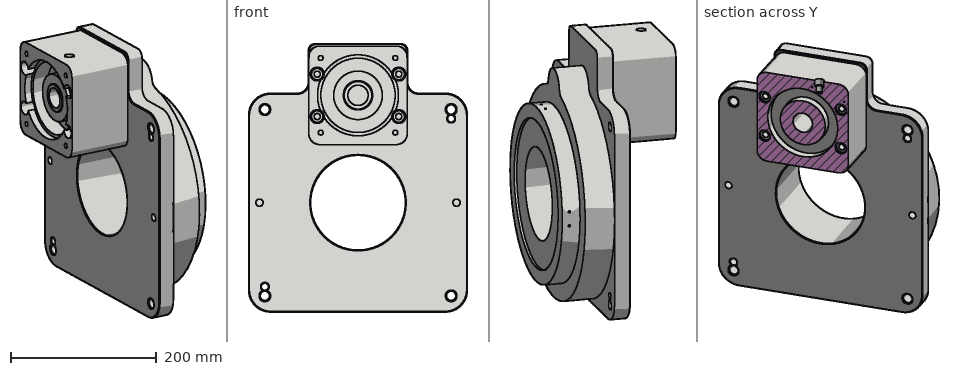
import cadquery as cq
import math


housing_length = 89.8
plate_thickness = 23.0
disc_thickness = 42.0
ring_thickness = 25.5
disc_back = plate_thickness + disc_thickness
ring_back = disc_back + ring_thickness

plate_side = 300.0
plate_corner_radius = 30.0
tab_width = 136.0
overall_height = 368.0
tab_top = overall_height - plate_side / 2
tab_corner_radius = 10.0
tab_root_radius = 15.0
edge_chamfer = 1.0

ring_diameter = 250.2
bore_diameter = 130.0
back_recess_diameter = 210.0
back_recess_depth = 3.5
disc_radius = plate_side / 2
lobe_center_z = 150.5
lobe_radius = 27.0
lobe_blend_radius = 11.8

corner_hole_offset = 127.7
corner_hole_diameter = 13.0
corner_hole_rim = 16.0
pin_hole_gap = 12.5
pin_hole_diameter = 10.0
pin_hole_rim = 11.8
side_hole_offset = 135.0
side_hole_diameter = 10.0

rim_hole_diameter = 2.45
rim_hole_offset = 10.0
rim_hole_depth = 7.5
rim_hole_setback = 10.3
rim_hole_y = ring_back - rim_hole_setback

motor_axis_z = 147.2
housing_side = 135.0
housing_corner_radius = 15.0
pilot_diameter = 111.0
pilot_depth = 10.3
cavity_diameter = 102.0
cavity_depth = 34.2
hub_diameter = 66.5
hub_setback = 14.7
collar_base_diameter = 40.0
collar_top_diameter = 38.0
collar_height = 1.0
shaft_hole_diameter = 28.0
shaft_hole_depth = 55.2
motor_hole_offset = 51.0
motor_hole_diameter = 6.5
motor_hole_depth = 18.5
screw_offset_x = 56.0
screw_offset_z = 29.0
screw_pocket_diameter = 18.8
screw_pocket_depth = 22.0
screw_seat_diameter = 16.0
screw_seat_depth = 3.5
screw_hole_diameter = 8.5
screw_hole_depth = 14.7
access_hole_x = 24.3
access_hole_setback = 22.5
access_recess_diameter = 13.0
access_recess_depth = 9.2
access_hole_diameter = 8.5
access_hole_depth = 18.5

housing_front = -housing_length

ROOT_BOX_MARGIN = 3.5
MIRROR_SIGNS = [(-1, -1), (-1, 1), (1, -1), (1, 1)]


def cylinder(diameter, x, z, y_start, length):
    """Cylinder along +Y that starts at y_start."""
    return cq.Workplane(cq.Solid.makeCylinder(
        diameter / 2, length, cq.Vector(x, y_start, z), cq.Vector(0, 1, 0)))


def rim_chamfer(diameter, rim_diameter, x, z, y_start):
    """45-degree countersink that narrows along +Y from rim_diameter to diameter."""
    depth = (rim_diameter - diameter) / 2
    return cq.Workplane(cq.Solid.makeCone(
        rim_diameter / 2, diameter / 2, depth, cq.Vector(x, y_start, z), cq.Vector(0, 1, 0)))


def make_housing():
    return (cq.Workplane("XY")
            .box(housing_side, housing_length, housing_side)
            .edges("|Y").fillet(housing_corner_radius)
            .translate((0, -housing_length / 2, motor_axis_z)))


def make_plate():
    half = plate_side / 2
    tab_half = tab_width / 2
    outline = (cq.Workplane("XZ")
               .moveTo(-half, -half)
               .lineTo(half, -half)
               .lineTo(half, half)
               .lineTo(tab_half, half)
               .lineTo(tab_half, tab_top)
               .lineTo(-tab_half, tab_top)
               .lineTo(-tab_half, half)
               .lineTo(-half, half)
               .close())
    plate = outline.extrude(-plate_thickness)
    mid_y = plate_thickness / 2
    roots = cq.selectors.BoxSelector(
        (-tab_width, mid_y - ROOT_BOX_MARGIN, half - ROOT_BOX_MARGIN),
        (tab_width, mid_y + ROOT_BOX_MARGIN, half + ROOT_BOX_MARGIN))
    plate = plate.faces(">Z").edges("|Y").fillet(tab_corner_radius)
    plate = plate.edges("|Y").edges(roots).fillet(tab_root_radius)
    plate = plate.edges("|Y and (<X or >X)").fillet(plate_corner_radius)
    return plate.faces("<Y").chamfer(edge_chamfer)


def make_disc():
    """Round disc whose top lobe is joined by tangent concave blends."""
    to_disc = disc_radius + lobe_blend_radius
    to_lobe = lobe_radius + lobe_blend_radius
    blend_z = (to_disc**2 + lobe_center_z**2 - to_lobe**2) / (2 * lobe_center_z)
    blend_x = math.sqrt(to_disc**2 - blend_z**2)

    disc_x = blend_x * disc_radius / to_disc
    disc_z = blend_z * disc_radius / to_disc
    lobe_x = blend_x * lobe_radius / to_lobe
    lobe_z = lobe_center_z + (blend_z - lobe_center_z) * lobe_radius / to_lobe
    chord_x = (disc_x + lobe_x) / 2 - blend_x
    chord_z = (disc_z + lobe_z) / 2 - blend_z
    reach = lobe_blend_radius / math.hypot(chord_x, chord_z)
    mid_x = blend_x + chord_x * reach
    mid_z = blend_z + chord_z * reach

    return (cq.Workplane("XZ", origin=(0, plate_thickness, 0))
            .moveTo(disc_x, disc_z)
            .threePointArc((0, -disc_radius), (-disc_x, disc_z))
            .threePointArc((-mid_x, mid_z), (-lobe_x, lobe_z))
            .threePointArc((0, lobe_center_z + lobe_radius), (lobe_x, lobe_z))
            .threePointArc((mid_x, mid_z), (disc_x, disc_z))
            .close()
            .extrude(-disc_thickness))


def cut_rim_holes(body):
    """Pairs of tiny holes in the ring: one pair facing +Z, one facing -X."""
    length = 2 * rim_hole_depth
    start = ring_diameter / 2 - rim_hole_depth
    for offset in (-rim_hole_offset, rim_hole_offset):
        for point, direction in [((offset, rim_hole_y, start), (0, 0, 1)),
                                 ((-start, rim_hole_y, offset), (-1, 0, 0))]:
            body = body.cut(cq.Workplane(cq.Solid.makeCylinder(
                rim_hole_diameter / 2, length, cq.Vector(*point), cq.Vector(*direction))))
    return body


def cut_plate_hole(body, diameter, rim_diameter, x, z):
    body = body.cut(cylinder(diameter, x, z, 0, plate_thickness))
    return body.cut(rim_chamfer(diameter, rim_diameter, x, z, 0))


def cut_plate_holes(body):
    for sign_x, sign_z in MIRROR_SIGNS:
        x = sign_x * corner_hole_offset
        z = sign_z * corner_hole_offset
        body = cut_plate_hole(body, corner_hole_diameter, corner_hole_rim, x, z)
        if sign_x == sign_z:
            pin_z = z - sign_z * pin_hole_gap
            body = cut_plate_hole(body, pin_hole_diameter, pin_hole_rim, x, pin_z)
    for x in (-side_hole_offset, side_hole_offset):
        body = body.cut(cylinder(side_hole_diameter, x, 0, 0, plate_thickness))
    return body


def cut_main_bore(body):
    """Through bore with a front edge break and a shallow recess in the ring's back face."""
    body = body.cut(cylinder(bore_diameter, 0, 0, 0, ring_back))
    recess_start = ring_back - back_recess_depth
    body = body.cut(cylinder(back_recess_diameter, 0, 0, recess_start, back_recess_depth))
    return body.cut(rim_chamfer(bore_diameter, bore_diameter + 2 * edge_chamfer, 0, 0, 0))


def cut_motor_socket(body):
    """Stepped pilot and cavity around a hub with a tapered collar and a shaft hole."""
    hub_front = housing_front + hub_setback
    hub_length = cavity_depth - hub_setback
    body = body.cut(cylinder(pilot_diameter, 0, motor_axis_z, housing_front, pilot_depth))
    body = body.cut(cylinder(cavity_diameter, 0, motor_axis_z, housing_front, cavity_depth))
    body = body.union(cylinder(hub_diameter, 0, motor_axis_z, hub_front, hub_length))
    body = body.union(cq.Workplane(cq.Solid.makeCone(
        collar_base_diameter / 2, collar_top_diameter / 2, collar_height,
        cq.Vector(0, hub_front, motor_axis_z), cq.Vector(0, -1, 0))))
    collar_front = hub_front - collar_height
    return body.cut(cylinder(shaft_hole_diameter, 0, motor_axis_z, collar_front, shaft_hole_depth))


def cut_housing_holes(body):
    seat_start = housing_front + screw_pocket_depth
    screw_start = seat_start + screw_seat_depth
    for sign_x, sign_z in MIRROR_SIGNS:
        x = sign_x * screw_offset_x
        z = motor_axis_z + sign_z * screw_offset_z
        body = body.cut(cylinder(screw_pocket_diameter, x, z, housing_front, screw_pocket_depth))
        body = body.cut(cylinder(screw_seat_diameter, x, z, seat_start, screw_seat_depth))
        body = body.cut(cylinder(screw_hole_diameter, x, z, screw_start, screw_hole_depth))

        x = sign_x * motor_hole_offset
        z = motor_axis_z + sign_z * motor_hole_offset
        body = body.cut(cylinder(motor_hole_diameter, x, z, housing_front, motor_hole_depth))
    return body


def cut_access_hole(body):
    """Stepped hole in the top of the housing."""
    top = cq.Vector(access_hole_x, housing_front + access_hole_setback,
                    motor_axis_z + housing_side / 2)
    down = cq.Vector(0, 0, -1)
    for diameter, depth in [(access_recess_diameter, access_recess_depth),
                            (access_hole_diameter, access_hole_depth)]:
        body = body.cut(cq.Workplane(cq.Solid.makeCylinder(diameter / 2, depth, top, down)))
    return body


ring = cylinder(ring_diameter, 0, 0, disc_back, ring_thickness)

body = make_plate().union(make_disc()).union(ring).union(make_housing())
body = cut_main_bore(body)
body = cut_plate_holes(body)
body = cut_rim_holes(body)
body = cut_motor_socket(body)
body = cut_housing_holes(body)
result = cut_access_hole(body)